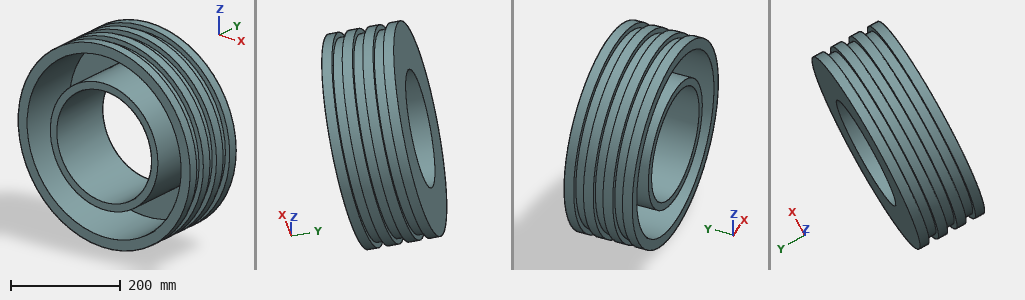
import cadquery as cq

outer_diameter = 400.0
groove_diameter = 380.0
rim_inner_diameter = 358.0
hub_diameter = 250.0
bore_diameter = 220.0
width = 135.0
web_thickness = 12.0
groove_count = 3

band_width = width / (2 * groove_count + 1)
front_y = -width / 2
back_y = width / 2


def ring(start_y, length, outside, inside):
    """Ring around the Y axis, extending from start_y toward +Y."""
    plane = cq.Workplane("XZ", origin=(0, start_y, 0))
    return plane.circle(outside / 2).circle(inside / 2).extrude(-length)


rim = ring(front_y, width, outer_diameter, rim_inner_diameter)
for index in range(groove_count):
    groove_y = front_y + (2 * index + 1) * band_width
    rim = rim.cut(ring(groove_y, band_width, outer_diameter, groove_diameter))

hub = ring(front_y, width, hub_diameter, bore_diameter)

web_front_y = back_y - web_thickness
web = ring(web_front_y, web_thickness, rim_inner_diameter, hub_diameter)

result = rim.union(web).union(hub)